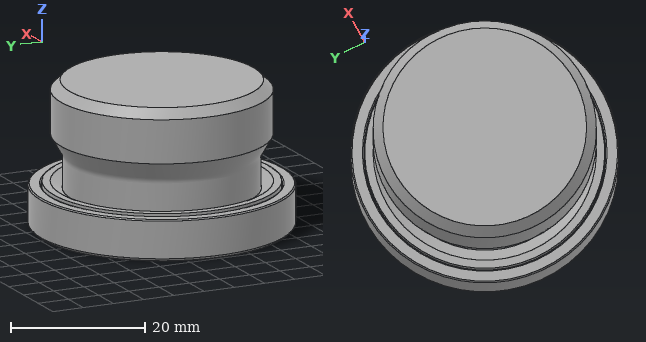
import cadquery as cq
import math

total_height = 22.5
flange_radius = 39.9 / 2
flange_height = 6.5
flange_bottom_chamfer = 0.48
flange_top_chamfer = 0.2
neck_radius = 29.6 / 2
knob_radius = 33.25 / 2
knob_chamfer = 1.48
knob_rim_bottom = 14.2
knob_cone_angle = 30
neck_fillet = 1.6

ring_outer_radius = 35.7 / 2
ring_bore_radius = 29.7 / 2
ring_height = 1.5
ring_protrusion = 0.35
countersink_radius = knob_radius
countersink_slope = 30
recess_radius = 36.0 / 2

ring_top = flange_height + ring_protrusion
recess_floor = ring_top - ring_height
countersink_depth = (countersink_radius - ring_bore_radius) * math.tan(math.radians(countersink_slope))
cone_bottom = knob_rim_bottom - (knob_radius - neck_radius) / math.tan(math.radians(knob_cone_angle))


def disc(radius, bottom, top):
    """Cylinder on the Z axis between two heights."""
    return cq.Workplane("XY").workplane(offset=bottom).circle(radius).extrude(top - bottom)


def make_flange():
    """Flange with a recess for the seal ring; both edges of its top face are chamfered."""
    flange = disc(flange_radius, 0, flange_height)
    flange = flange.faces("<Z").chamfer(flange_bottom_chamfer)
    flange = flange.cut(disc(recess_radius, recess_floor, flange_height))
    return flange.faces(">Z").chamfer(flange_top_chamfer)


def make_neck_and_knob():
    """Neck widening through a cone to the knob, with a fillet where neck and cone meet."""
    tangent_length = neck_fillet * math.tan(math.radians(knob_cone_angle / 2))
    fillet_bottom = cone_bottom - tangent_length
    fillet_middle_angle = math.radians(knob_cone_angle / 2)
    fillet_end_angle = math.radians(knob_cone_angle)

    def fillet_point(angle):
        return (
            neck_radius + neck_fillet * (1 - math.cos(angle)),
            fillet_bottom + neck_fillet * math.sin(angle),
        )

    return (
        cq.Workplane("XZ")
        .moveTo(0, recess_floor)
        .lineTo(neck_radius, recess_floor)
        .lineTo(neck_radius, fillet_bottom)
        .threePointArc(fillet_point(fillet_middle_angle), fillet_point(fillet_end_angle))
        .lineTo(knob_radius, knob_rim_bottom)
        .lineTo(knob_radius, total_height - knob_chamfer)
        .lineTo(knob_radius - knob_chamfer, total_height)
        .lineTo(0, total_height)
        .close()
        .revolve(360, (0, 0), (0, 1))
    )


def make_plug():
    """One-piece plug: flange, neck and knob."""
    return make_flange().union(make_neck_and_knob()).solids()


def make_seal_ring():
    """Ring with a conical countersink at the top of its bore."""
    return (
        cq.Workplane("XZ")
        .moveTo(ring_bore_radius, recess_floor)
        .lineTo(ring_outer_radius, recess_floor)
        .lineTo(ring_outer_radius, ring_top)
        .lineTo(countersink_radius, ring_top)
        .lineTo(ring_bore_radius, ring_top - countersink_depth)
        .close()
        .revolve(360, (0, 0), (0, 1))
    )


plug = make_plug()
seal_ring = make_seal_ring()

result = cq.Compound.makeCompound([plug.val(), seal_ring.val()])